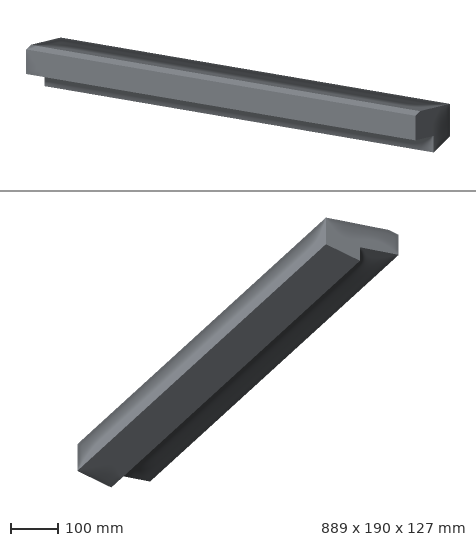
import cadquery as cq

length = 889.0
depth = 190.0
height = 127.0

flat_top_depth = 26.0
back_height = 76.0
overhang_depth = 101.0
lip_bottom_height = 70.0
leg_front_height = 38.0

front_y = -depth / 2
back_y = depth / 2
leg_front_y = front_y + overhang_depth
profile = [
    (leg_front_y, 0),
    (back_y, 0),
    (back_y, back_height),
    (front_y + flat_top_depth, height),
    (front_y, height),
    (front_y, lip_bottom_height),
    (leg_front_y, leg_front_height),
]

result = (
    cq.Workplane("YZ")
    .polyline(profile)
    .close()
    .extrude(length / 2, both=True)
)